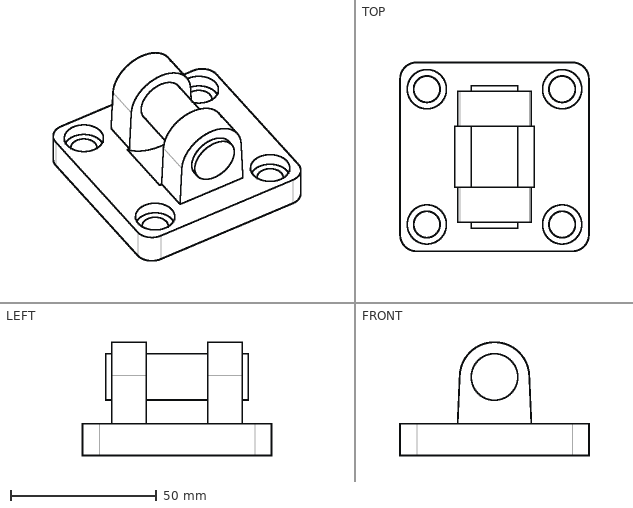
import cadquery as cq
import math

PLATE_SIDE = 65.0
PLATE_THICKNESS = 11.0
PLATE_CORNER_RADIUS = 5.75

HOLE_SPACING = 46.5
HOLE_DIAMETER = 9.0
COUNTERBORE_DIAMETER = 13.5
COUNTERBORE_DEPTH = 4.5

TOTAL_HEIGHT = 39.0
EAR_RADIUS = 12.0
EAR_SIDE_ANGLE = 2.5
EAR_GAP = 21.0
EARS_OUTER_WIDTH = 45.0

PIN_DIAMETER = 16.0
PIN_LENGTH = 49.0

GROOVE_DIAMETER = 42.0

PIN_AXIS_HEIGHT = TOTAL_HEIGHT - EAR_RADIUS


def cylinder_along_y(diameter, length, axis_height):
    """Cylinder parallel to Y, centred on the XZ plane, at the given height."""
    return (
        cq.Workplane("XZ")
        .center(0, axis_height)
        .circle(diameter / 2)
        .extrude(length / 2, both=True)
    )


def make_plate():
    """Square plate with rounded vertical corners."""
    return (
        cq.Workplane("XY")
        .rect(PLATE_SIDE, PLATE_SIDE)
        .extrude(PLATE_THICKNESS)
        .edges("|Z")
        .fillet(PLATE_CORNER_RADIUS)
    )


def cut_mounting_holes(body):
    """Counterbored through holes near the four plate corners."""
    return (
        body.faces(">Z")
        .workplane(origin=(0, 0, PLATE_THICKNESS))
        .rect(HOLE_SPACING, HOLE_SPACING, forConstruction=True)
        .vertices()
        .cboreHole(HOLE_DIAMETER, COUNTERBORE_DIAMETER, COUNTERBORE_DEPTH)
    )


def make_groove():
    """Cylinder coaxial with the pin that cuts a shallow trough in the plate."""
    return cylinder_along_y(GROOVE_DIAMETER, EAR_GAP, PIN_AXIS_HEIGHT)


def make_ears():
    """Pair of round-topped ears whose sides are tangent to the top arc."""
    angle = math.radians(EAR_SIDE_ANGLE)
    tangent_x = EAR_RADIUS * math.cos(angle)
    tangent_z = PIN_AXIS_HEIGHT + EAR_RADIUS * math.sin(angle)
    foot_x = tangent_x + (tangent_z - PLATE_THICKNESS) * math.tan(angle)
    ear_thickness = (EARS_OUTER_WIDTH - EAR_GAP) / 2

    ear = (
        cq.Workplane("XZ", origin=(0, -EAR_GAP / 2, 0))
        .moveTo(-foot_x, PLATE_THICKNESS)
        .lineTo(-tangent_x, tangent_z)
        .threePointArc((0, TOTAL_HEIGHT), (tangent_x, tangent_z))
        .lineTo(foot_x, PLATE_THICKNESS)
        .close()
        .extrude(ear_thickness)
    )
    return ear.union(ear.mirror("XZ"))


plate = cut_mounting_holes(make_plate()).cut(make_groove())
pin = cylinder_along_y(PIN_DIAMETER, PIN_LENGTH, PIN_AXIS_HEIGHT)
result = plate.union(make_ears()).union(pin)